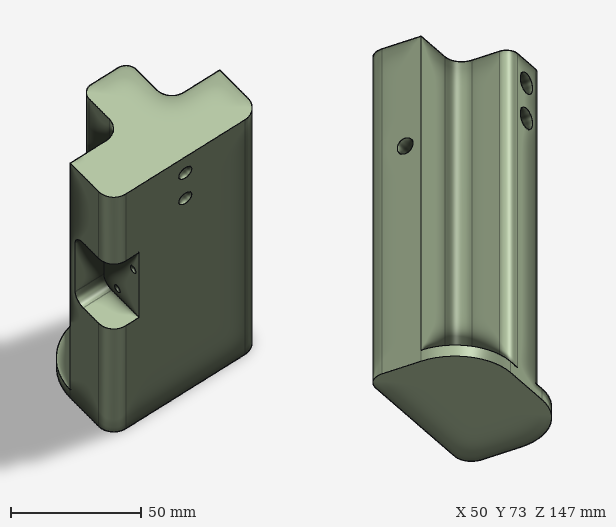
import cadquery as cq

WIDTH = 50.0
DEPTH = 73.0
HEIGHT = 147.0

BASE_THICKNESS = 5.0
BASE_RADIUS = WIDTH / 2
RIB_WIDTH = DEPTH - 2 * BASE_RADIUS
RIB_EDGE_RADIUS = 5.0
RIB_ROOT_RADIUS = 7.5
SLAB_EDGE_RADIUS = 7.5

RIB_HOLE_DIAMETER = 6.3
RIB_BORE_DIAMETER = 9.0
RIB_BORE_DEPTH = WIDTH / 2
FIRST_HOLE_DROP = 10.0
RIB_HOLE_PITCH = 15.9

POCKET_LENGTH = 21.9
POCKET_BOTTOM = 64.5
POCKET_TOP = 105.1
POCKET_DEPTH = 14.0
POCKET_RADIUS = 5.0

CROSS_HOLE_DIAMETER = 7.0
CROSS_HOLE_CENTRE = (7.2, 99.7)
PIN_HOLE_DIAMETER = 3.4
PIN_HOLE_DEPTH = 7.4
PIN_HOLE_CENTRES = [(21.3, 90.8), (11.5, 68.8)]


def upright_box(x_start, x_end, y_width, height):
    return cq.Workplane("XY").box(
        x_end - x_start, y_width, height, centered=(False, True, False)
    ).translate((x_start, 0, 0))


def make_column():
    """T-shaped column: slab and rib with rounded edges and filleted roots."""
    slab = upright_box(0, WIDTH / 2, DEPTH, HEIGHT).edges("|Z and >X").fillet(SLAB_EDGE_RADIUS)
    rib = upright_box(-WIDTH / 2, 0, RIB_WIDTH, HEIGHT).edges("|Z and <X").fillet(RIB_EDGE_RADIUS)
    root_edges = cq.selectors.BoxSelector((-1.5, -RIB_WIDTH, 0), (1.5, RIB_WIDTH, HEIGHT))
    return slab.union(rib).edges("|Z").edges(root_edges).fillet(RIB_ROOT_RADIUS)


def make_base():
    """Thin foot with large round corners on the -X side."""
    foot = upright_box(-WIDTH / 2, WIDTH / 4, DEPTH, BASE_THICKNESS)
    return foot.edges("|Z and <X").fillet(BASE_RADIUS)


def hole_along_x(z, diameter, length):
    start = cq.Vector(-WIDTH / 2, 0, z)
    return cq.Solid.makeCylinder(diameter / 2, length, start, cq.Vector(1, 0, 0))


def hole_along_y(centre, diameter, y_start, length):
    x, z = centre
    start = cq.Vector(x, y_start, z)
    return cq.Solid.makeCylinder(diameter / 2, length, start, cq.Vector(0, 1, 0))


def make_pocket():
    pocket = cq.Workplane("XY").box(
        POCKET_LENGTH, POCKET_DEPTH, POCKET_TOP - POCKET_BOTTOM, centered=False
    ).edges("|Y and <X").fillet(POCKET_RADIUS)
    return pocket.translate((WIDTH / 2 - POCKET_LENGTH, -DEPTH / 2, POCKET_BOTTOM))


result = make_column().union(make_base())

for index in range(2):
    hole_z = HEIGHT - FIRST_HOLE_DROP - index * RIB_HOLE_PITCH
    result = result.cut(hole_along_x(hole_z, RIB_HOLE_DIAMETER, WIDTH))
    result = result.cut(hole_along_x(hole_z, RIB_BORE_DIAMETER, RIB_BORE_DEPTH))

result = result.cut(make_pocket())
result = result.cut(hole_along_y(CROSS_HOLE_CENTRE, CROSS_HOLE_DIAMETER, -DEPTH / 2, DEPTH))

pocket_floor_y = -DEPTH / 2 + POCKET_DEPTH
for pin_centre in PIN_HOLE_CENTRES:
    result = result.cut(hole_along_y(pin_centre, PIN_HOLE_DIAMETER, pocket_floor_y, PIN_HOLE_DEPTH))